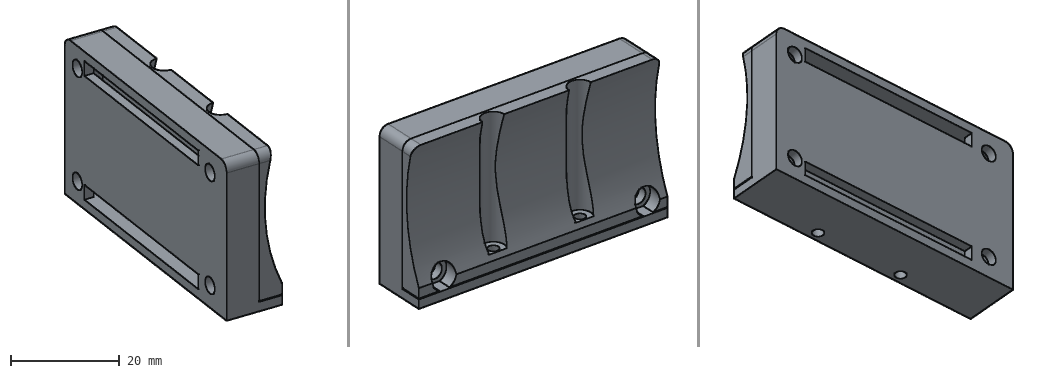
import cadquery as cq

LENGTH = 57.4
DEPTH = 12.0
HEIGHT = 33.0
WALL = 2.0
HOUSING_DEPTH = 7.0
CORNER_RADIUS = 2.0
COVER_GAP = 0.2

SLOT_START = 7.0
SLOT_LENGTH = 40.4
SLOT_HEIGHT = 3.1

MOUNT_DIAMETER = 3.4
MOUNT_FIRST_X = 4.5
MOUNT_SPACING_X = 47.0
MOUNT_INSET_Z = 4.7
HEAD_DIAMETER = 5.5
HEAD_DEPTH = 3.0

SCREW_DIAMETER = 2.3
SCREW_SPACING = 20.0
SCREW_Y = 10.0
SCREW_HEAD_DIAMETER = 5.0
SCREW_SEAT_Z = 5.6

BACK_RADIUS = 40.0
BACK_LOWEST_Y = 8.25
BACK_CENTER_Z = 21.3

COVER_DEPTH = DEPTH - HOUSING_DEPTH
MOUNT_XS = [MOUNT_FIRST_X, MOUNT_FIRST_X + MOUNT_SPACING_X]
MOUNT_LOWER_Z = MOUNT_INSET_Z
MOUNT_UPPER_Z = HEIGHT - MOUNT_INSET_Z
SCREW_XS = [(LENGTH - SCREW_SPACING) / 2, (LENGTH + SCREW_SPACING) / 2]


def box(x, y, z, length, depth, height):
    """Box with its lowest corner at (x, y, z)."""
    return cq.Workplane("XY").box(length, depth, height, centered=False).translate((x, y, z))


def hole_y(x, z, diameter, start, depth):
    """Cylinder along +Y, starting at y = start."""
    axis = cq.Vector(0, 1, 0)
    return cq.Workplane(cq.Solid.makeCylinder(diameter / 2, depth, cq.Vector(x, start, z), axis))


def hole_z(x, y, diameter, start, height):
    """Cylinder along +Z, starting at z = start."""
    return cq.Workplane(cq.Solid.makeCylinder(diameter / 2, height, cq.Vector(x, y, start)))


def round_upper_corners(body):
    return body.edges("|Y and >Z").fillet(CORNER_RADIUS)


def make_housing():
    """Open-backed tray with a ledge that carries the cover."""
    body = round_upper_corners(box(0, 0, 0, LENGTH, HOUSING_DEPTH, HEIGHT))
    body = body.union(box(0, 0, 0, LENGTH, DEPTH, WALL))

    cavity_depth = HOUSING_DEPTH - WALL
    body = body.cut(box(WALL, WALL, WALL, LENGTH - 2 * WALL, cavity_depth, HEIGHT - 2 * WALL))

    for slot_z in (WALL, HEIGHT - WALL - SLOT_HEIGHT):
        body = body.cut(box(SLOT_START, 0, slot_z, SLOT_LENGTH, WALL, SLOT_HEIGHT))
    for x in MOUNT_XS:
        for z in (MOUNT_LOWER_Z, MOUNT_UPPER_Z):
            body = body.cut(hole_y(x, z, MOUNT_DIAMETER, 0, WALL))
    for x in SCREW_XS:
        body = body.cut(hole_z(x, SCREW_Y, SCREW_DIAMETER, 0, WALL))
    return body


def make_cover():
    """Back cover with a concave cylindrical face."""
    bottom = WALL + COVER_GAP
    body = box(0, HOUSING_DEPTH, bottom, LENGTH, COVER_DEPTH, HEIGHT - bottom)
    body = round_upper_corners(body)

    back_center = cq.Vector(0, BACK_LOWEST_Y + BACK_RADIUS, BACK_CENTER_Z)
    back = cq.Solid.makeCylinder(BACK_RADIUS, LENGTH, back_center, cq.Vector(1, 0, 0))
    body = body.cut(cq.Workplane(back))

    head_start = DEPTH - HEAD_DEPTH
    for x in MOUNT_XS:
        body = body.cut(hole_y(x, MOUNT_LOWER_Z, MOUNT_DIAMETER, HOUSING_DEPTH, COVER_DEPTH))
        body = body.cut(hole_y(x, MOUNT_LOWER_Z, HEAD_DIAMETER, head_start, HEAD_DEPTH))
    for x in SCREW_XS:
        body = body.cut(hole_z(x, SCREW_Y, SCREW_DIAMETER, bottom, HEIGHT - bottom))
        body = body.cut(hole_z(x, SCREW_Y, SCREW_HEAD_DIAMETER, SCREW_SEAT_Z, HEIGHT - SCREW_SEAT_Z))
    return body


housing = make_housing()
cover = make_cover()

result = cq.Compound.makeCompound([housing.val(), cover.val()])